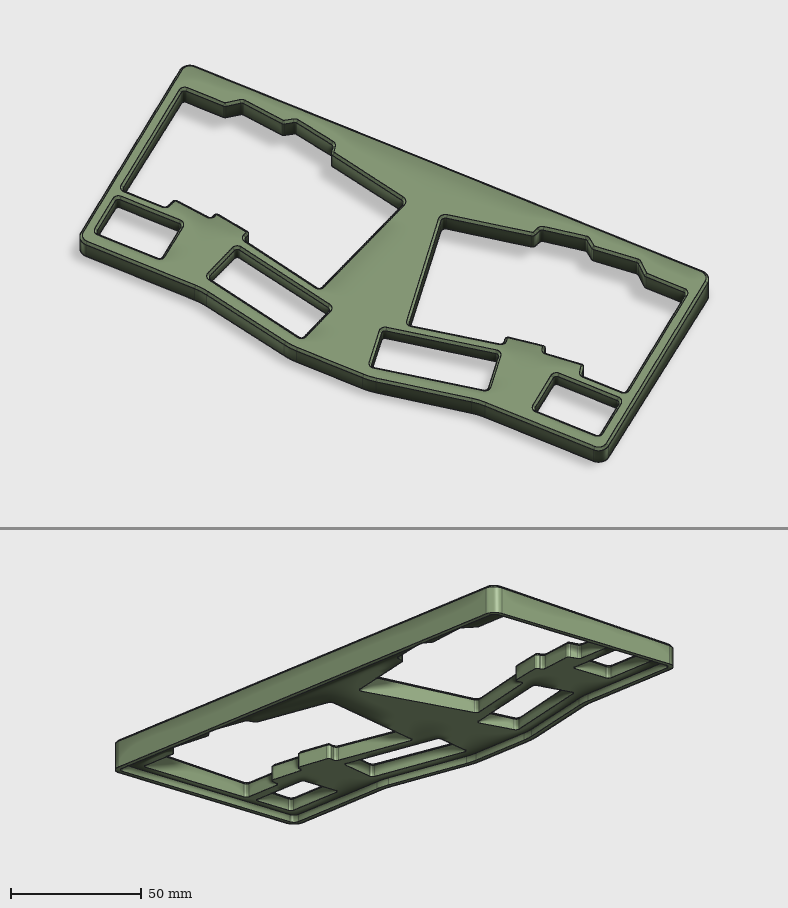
import cadquery as cq
import math

LENGTH = 227.0
DEPTH = 102.0
HEIGHT = 11.5
TOP_SLOPE = 2.0
CHAMFER = 1.0

SIDE_DEPTH = 93.0
NOSE_HALF_WIDTH = 17.0
SHOULDER_X = 59.7
CORNER_RADIUS = 4.3
BEND_RADIUS = 27.2

SKIRT_THICKNESS = 2.0
RECESS_DEPTH = 3.0

SPLAY = 12.0
OPENING_RADIUS = 1.4
INNER_CORNER_RADIUS = 1.8
OPENING_LEFT = -108.3

CORNER_OPENING_LENGTH = 28.1
CORNER_OPENING_WIDTH = 18.2
CORNER_OPENING_Y = -26.5

THUMB_LENGTH = 46.3
THUMB_WIDTH = 17.7
THUMB_CENTER = (-35.6, -31.5)

OUTER_COLUMN_REAR_Y = 39.0
OUTER_COLUMN_FRONT_Y = -13.2
REAR_LEFT = (OPENING_LEFT, OUTER_COLUMN_REAR_Y)
REAR_STEPS = [
    (-90.3, OUTER_COLUMN_REAR_Y), (-85.1, 43.5),
    (-66.5, 41.5), (-62.7, 44.5),
    (-44.7, 41.0), (-43.5, 37.0),
]
REAR_RIGHT = (-8.0, 29.5)
FRONT_RIGHT = (-19.0, -21.3)
FRONT_STEPS = [
    (-55.8, -13.5), (-55.0, -9.5),
    (-71.0, -6.8), (-71.5, -10.0),
    (-88.0, -8.2), (-89.5, OUTER_COLUMN_FRONT_Y),
]
FRONT_LEFT = (OPENING_LEFT, OUTER_COLUMN_FRONT_Y)

SLOPE_RATIO = math.tan(math.radians(TOP_SLOPE))
REAR_EDGE_HEIGHT = HEIGHT + CHAMFER * SLOPE_RATIO
REAR_Y = DEPTH / 2
NOSE_Y = -DEPTH / 2
SIDE_FRONT_Y = REAR_Y - SIDE_DEPTH


def round_corners(solid, corners, radius):
    """Round the vertical edges of a prism standing at the given XY corners."""
    for x, y in corners:
        mid_edge = (x, y, REAR_EDGE_HEIGHT / 2)
        solid = solid.edges(cq.selectors.NearestToPointSelector(mid_edge)).fillet(radius)
    return solid


def body():
    half = LENGTH / 2
    ends = [(-half, REAR_Y), (half, REAR_Y), (half, SIDE_FRONT_Y), (-half, SIDE_FRONT_Y)]
    bends = [
        (SHOULDER_X, SIDE_FRONT_Y), (NOSE_HALF_WIDTH, NOSE_Y),
        (-NOSE_HALF_WIDTH, NOSE_Y), (-SHOULDER_X, SIDE_FRONT_Y),
    ]
    outline = ends[:3] + bends + ends[3:]
    solid = cq.Workplane("XY").polyline(outline).close().extrude(REAR_EDGE_HEIGHT)
    solid = round_corners(solid, ends, CORNER_RADIUS)
    return round_corners(solid, bends, BEND_RADIUS)


def recess(solid):
    """Space under the frame, inside the skirt of the given solid."""
    return (
        solid.faces("<Z").wires().toPending()
        .workplane(origin=(0, 0, 0), invert=True)
        .offset2D(-SKIRT_THICKNESS)
        .extrude(RECESS_DEPTH, combine=False)
    )


def large_opening():
    other_corners = [FRONT_RIGHT] + FRONT_STEPS + [FRONT_LEFT, REAR_LEFT] + REAR_STEPS
    outline = [REAR_RIGHT] + other_corners
    solid = cq.Workplane("XY").polyline(outline).close().extrude(REAR_EDGE_HEIGHT)
    solid = round_corners(solid, [REAR_RIGHT], INNER_CORNER_RADIUS)
    return round_corners(solid, other_corners, OPENING_RADIUS)


def corner_opening():
    center_x = OPENING_LEFT + CORNER_OPENING_LENGTH / 2
    return (
        cq.Workplane("XY")
        .center(center_x, CORNER_OPENING_Y)
        .rect(CORNER_OPENING_LENGTH, CORNER_OPENING_WIDTH)
        .extrude(REAR_EDGE_HEIGHT)
        .edges("|Z").fillet(OPENING_RADIUS)
    )


def thumb_opening():
    return (
        cq.Workplane("XY")
        .rect(THUMB_LENGTH, THUMB_WIDTH)
        .extrude(REAR_EDGE_HEIGHT)
        .edges("|Z").fillet(OPENING_RADIUS)
        .rotate((0, 0, 0), (0, 0, 1), -SPLAY)
        .translate((*THUMB_CENTER, 0))
    )


def above_top_face():
    """Wedge of space over the sloping top face, hinged on the rear edge."""
    front_edge_height = REAR_EDGE_HEIGHT - DEPTH * SLOPE_RATIO
    return (
        cq.Workplane("YZ")
        .polyline([(REAR_Y, REAR_EDGE_HEIGHT), (NOSE_Y, REAR_EDGE_HEIGHT), (NOSE_Y, front_edge_height)])
        .close()
        .extrude(LENGTH / 2, both=True)
    )


frame = body()
frame = frame.cut(recess(frame))
for opening in (large_opening(), corner_opening(), thumb_opening()):
    frame = frame.cut(opening).cut(opening.mirror("YZ"))
frame = frame.cut(above_top_face())

result = frame.faces(">Z").edges().chamfer(CHAMFER)